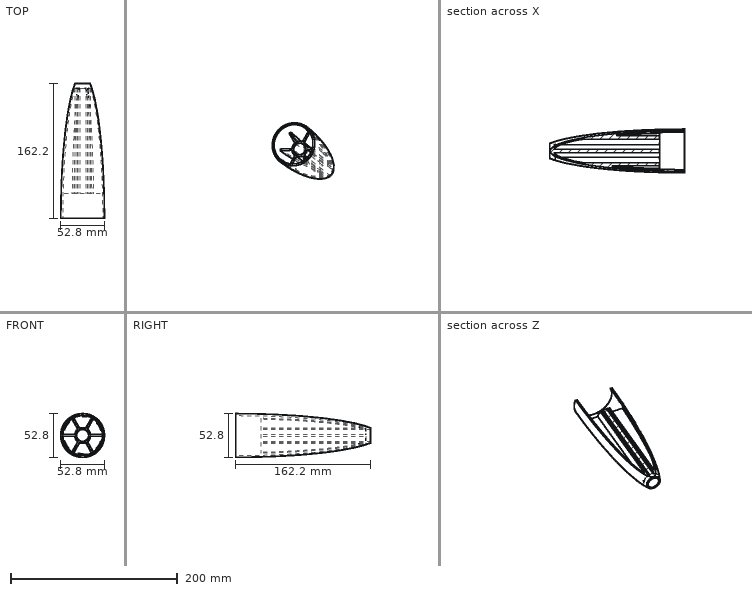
import cadquery as cq
import math

LENGTH = 162.21
BASE_RADIUS = 26.38
TIP_RADIUS = 9.1
WALL = 2.35
TUBE_RADIUS = 9.5
RIB_COUNT = 6
RIB_START = 30.0

OUTER_SEMI_LENGTH = LENGTH / math.sqrt(1 - (TIP_RADIUS / BASE_RADIUS) ** 2)
BORE_RADIUS = TUBE_RADIUS - WALL
INSERT_LENGTH = LENGTH - RIB_START


def truncated_ellipsoid(radius, semi_length):
    """Half ellipsoid around Y, flat at the base and cut off at the tip plane."""
    tip_radius = radius * math.sqrt(1 - (LENGTH / semi_length) ** 2)
    tip_angle = math.degrees(math.asin(LENGTH / semi_length))
    profile = (
        cq.Workplane("YZ")
        .ellipseArc(semi_length, radius, 90 - tip_angle, 90, startAtCurrent=False)
        .lineTo(0, 0)
        .lineTo(LENGTH, 0)
        .lineTo(LENGTH, tip_radius)
        .close()
    )
    return profile.revolve(360, (0, 0, 0), (1, 0, 0))


def y_cylinder(radius, start, length):
    """Cylinder on the Y axis growing from start toward the tip."""
    return cq.Workplane("XZ", origin=(0, start, 0)).circle(radius).extrude(-length)


def rib(angle):
    """Radial rib from the tube out past the cavity wall, turned about Y."""
    plate = cq.Workplane("XY").box(
        BASE_RADIUS, INSERT_LENGTH, WALL, centered=(False, False, True)
    )
    plate = plate.translate((0, RIB_START, 0))
    plate = plate.cut(y_cylinder(TUBE_RADIUS, RIB_START, INSERT_LENGTH))
    return plate.rotate((0, 0, 0), (0, 1, 0), angle)


outer = truncated_ellipsoid(BASE_RADIUS, OUTER_SEMI_LENGTH)
cavity = truncated_ellipsoid(BASE_RADIUS - WALL, OUTER_SEMI_LENGTH - WALL)
bore = y_cylinder(BORE_RADIUS, RIB_START, INSERT_LENGTH)

insert = y_cylinder(TUBE_RADIUS, RIB_START, INSERT_LENGTH)
for index in range(RIB_COUNT):
    insert = insert.union(rib(index * 360 / RIB_COUNT), clean=False)

hollow = cavity.cut(insert, clean=False)
hollowed = outer.cut(hollow, clean=False)
result = hollowed.cut(bore, clean=False).solids()